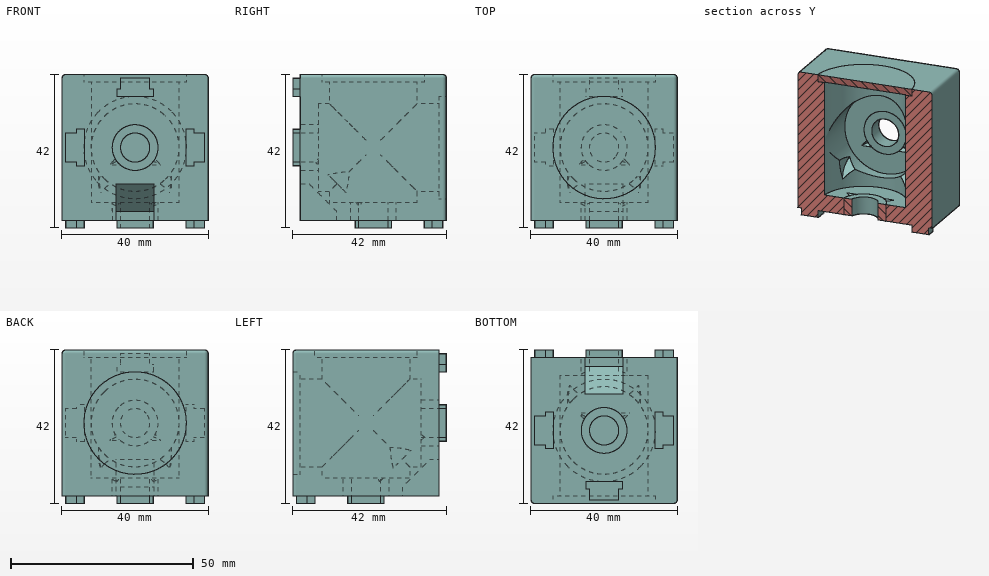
import cadquery as cq


OVERALL = 42.0
BLOCK = 40.0
HALF = BLOCK / 2
EDGE_RADIUS = 1.0

CAVITY_DIAMETER = 24.0

COVER_DIAMETER = 28.0
COVER_THICKNESS = 2.0

POCKET_DIAMETER = 20.0
POCKET_DEPTH = 14.0

SLEEVE_DIAMETER = 12.5
SLEEVE_BORE = 8.0
SLEEVE_LENGTH = 5.0

TAB_HEIGHT = OVERALL - BLOCK
TAB_INSET = 1.0
TAB_DEPTH = 5.1
TAB_STEM_DEPTH = 2.95
TAB_STEM_WIDTH = 8.0
TAB_BAR_WIDTH = 10.0

NOTCH_WIDTH = 10.4
NOTCH_SIZE = 10.0
NOTCH_LIP = 2.5


def swap_y_and_z(body):
    """Half turn about the y = z diagonal; it moves front to bottom and back to top."""
    return body.rotate((0, 0, 0), (0, 1, 1), 180)


def cylinder_down(diameter, top, length):
    """Vertical cylinder on the Z axis, running down from the height `top`."""
    return cq.Workplane("XY", origin=(0, 0, top)).circle(diameter / 2).extrude(-length)


def make_block():
    """Cube with rounded edges around the top and the back."""
    cube = cq.Workplane("XY").box(BLOCK, BLOCK, BLOCK)
    top_edges = cube.edges(">Z").edges("|Y or >Y")
    back_edges = cube.edges("|Z and >Y")
    return cube.newObject(top_edges.vals() + back_edges.vals()).fillet(EDGE_RADIUS)


def make_front_tab(turn):
    """Tab at the top of the front face, turned about the Y axis by `turn` degrees."""
    outer = HALF - TAB_INSET
    stem_end = outer - TAB_STEM_DEPTH
    inner = outer - TAB_DEPTH
    half_stem = TAB_STEM_WIDTH / 2
    half_bar = TAB_BAR_WIDTH / 2
    outline = [
        (-half_stem, outer),
        (half_stem, outer),
        (half_stem, stem_end),
        (half_bar, stem_end),
        (half_bar, inner),
        (-half_bar, inner),
        (-half_bar, stem_end),
        (-half_stem, stem_end),
    ]
    face = cq.Workplane("XZ", origin=(0, -HALF, 0))
    tab = face.polyline(outline).close().extrude(TAB_HEIGHT)
    return tab.rotate((0, 0, 0), (0, 1, 0), turn)


def make_notch():
    """Square notch whose inner corner is cut off at 45 degrees."""
    deep = NOTCH_SIZE - HALF
    shallow = NOTCH_LIP - HALF
    outline = [
        (-HALF, -HALF),
        (-HALF, deep),
        (shallow, deep),
        (deep, shallow),
        (deep, -HALF),
    ]
    side = cq.Workplane("YZ", origin=(-NOTCH_WIDTH / 2, 0, 0))
    return side.polyline(outline).close().extrude(NOTCH_WIDTH)


def make_top_cover():
    """Disc that closes the vertical bore at the top."""
    return cylinder_down(COVER_DIAMETER, HALF, COVER_THICKNESS)


def make_bottom_sleeve():
    """Tube in the bottom wall, as long as the wall is thick."""
    top = SLEEVE_LENGTH - HALF
    tube = cylinder_down(SLEEVE_DIAMETER, top, SLEEVE_LENGTH)
    return tube.cut(cylinder_down(SLEEVE_BORE, top, SLEEVE_LENGTH))


def make_mirror_pocket():
    """Cylinder from the centre of the block towards the middle of the notch."""
    towards_notch = cq.Plane(origin=(0, 0, 0), xDir=(1, 0, 0), normal=(0, -1, -1))
    return cq.Workplane(towards_notch).circle(POCKET_DIAMETER / 2).extrude(POCKET_DEPTH)


def make_housing():
    """Block with its tabs and notch, hollowed for the bores, covers, sleeves and mirror."""
    housing = make_block()
    for turn in (-90, 0, 90):
        tab = make_front_tab(turn)
        housing = housing.union(tab).union(swap_y_and_z(tab))
    housing = housing.cut(make_notch())

    bore = cylinder_down(CAVITY_DIAMETER, HALF, BLOCK - SLEEVE_LENGTH)
    cover_seat = cylinder_down(COVER_DIAMETER, HALF, COVER_THICKNESS)
    sleeve_seat = cylinder_down(SLEEVE_DIAMETER, SLEEVE_LENGTH - HALF, SLEEVE_LENGTH)
    for hollow in (bore, cover_seat, sleeve_seat):
        housing = housing.cut(hollow).cut(swap_y_and_z(hollow))
    return housing.cut(make_mirror_pocket())


housing = make_housing()
top_cover = make_top_cover()
bottom_sleeve = make_bottom_sleeve()
covers = [body.val() for body in (top_cover, swap_y_and_z(top_cover))]
sleeves = [body.val() for body in (bottom_sleeve, swap_y_and_z(bottom_sleeve))]

result = cq.Compound.makeCompound([housing.val(), *covers, *sleeves])